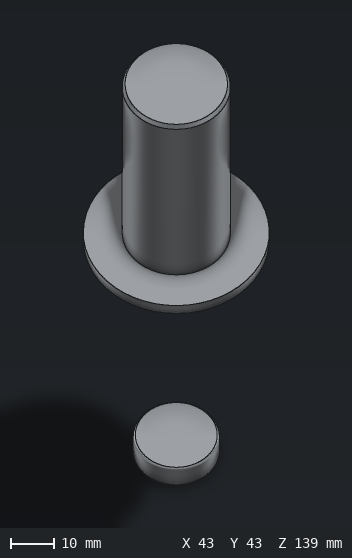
import cadquery as cq
import math

total_height = 139.0

flange_diameter = 43.0
flange_thickness = 3.0
shaft_diameter = 25.0
pin_height = 59.0
shaft_chamfer_height = 1.0
shaft_chamfer_inset = 0.7

disc_diameter = 20.0
disc_thickness = 6.5
rim_height = 0.8
rim_inset = 0.5

pin_base_z = total_height - pin_height


def make_pin():
    """Round shaft with a steep chamfer at the top, standing on a thin flange."""
    shaft_radius = shaft_diameter / 2
    flange_radius = flange_diameter / 2
    flange_top_z = pin_base_z + flange_thickness
    return (
        cq.Workplane("XZ")
        .moveTo(0, pin_base_z)
        .lineTo(flange_radius, pin_base_z)
        .lineTo(flange_radius, flange_top_z)
        .lineTo(shaft_radius, flange_top_z)
        .lineTo(shaft_radius, total_height - shaft_chamfer_height)
        .lineTo(shaft_radius - shaft_chamfer_inset, total_height)
        .lineTo(0, total_height)
        .close()
        .revolve(360, (0, 0, 0), (0, 1, 0))
    )


def make_disc():
    """Short disc whose rims are arcs tangent to its side, meeting the flat faces at an edge."""
    disc_radius = disc_diameter / 2
    face_radius = disc_radius - rim_inset

    arc_radius = (rim_height**2 + rim_inset**2) / (2 * rim_inset)
    half_sweep = math.asin(rim_height / arc_radius) / 2
    arc_mid_radius = disc_radius - arc_radius * (1 - math.cos(half_sweep))
    arc_mid_rise = arc_radius * math.sin(half_sweep)

    side_bottom_z = rim_height
    side_top_z = disc_thickness - rim_height
    return (
        cq.Workplane("XZ")
        .lineTo(face_radius, 0)
        .threePointArc((arc_mid_radius, side_bottom_z - arc_mid_rise), (disc_radius, side_bottom_z))
        .lineTo(disc_radius, side_top_z)
        .threePointArc((arc_mid_radius, side_top_z + arc_mid_rise), (face_radius, disc_thickness))
        .lineTo(0, disc_thickness)
        .close()
        .revolve(360, (0, 0, 0), (0, 1, 0))
    )


pin = make_pin()
disc = make_disc()

result = cq.Compound.makeCompound([pin.val(), disc.val()])